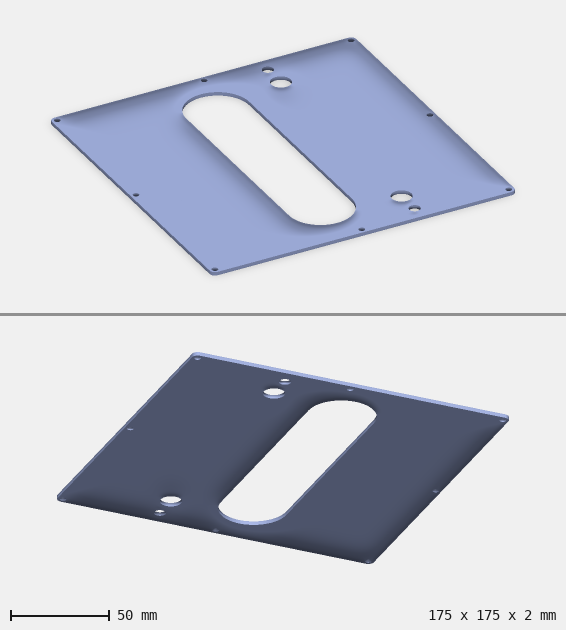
import cadquery as cq

plate_side = 175.0
plate_thickness = 2.0
corner_radius = 3.0

screw_diameter = 3.4
screw_edge_distance = 3.0
screw_offset = plate_side / 2 - screw_edge_distance

hole_line_y = 33.5
large_hole_diameter = 11.2
large_hole_x = 64.7
small_hole_diameter = 6.2
small_hole_x = 78.6

window_length = 146.0
window_width = 36.0
window_center_y = -8.0


def make_plate():
    """Square plate with rounded corners, centred on the origin."""
    plate = cq.Workplane("XY").box(plate_side, plate_side, plate_thickness)
    return plate.edges("|Z").fillet(corner_radius)


def drill(plate, diameter, points):
    """Drill through holes of one diameter at the given plate positions."""
    return plate.faces(">Z").workplane(origin=(0, 0, 0)).pushPoints(points).hole(diameter)


def drill_screw_holes(plate):
    """Eight screw holes on a 3 x 3 grid, leaving out the centre."""
    steps = (-screw_offset, 0, screw_offset)
    points = [(x, y) for x in steps for y in steps if (x, y) != (0, 0)]
    return drill(plate, screw_diameter, points)


def drill_mirrored_pair(plate, diameter, distance):
    """Two holes mirrored about the YZ plane."""
    return drill(plate, diameter, [(-distance, hole_line_y), (distance, hole_line_y)])


def cut_window(plate):
    """Rounded window through the full thickness."""
    top = plate.faces(">Z").workplane(origin=(0, 0, 0))
    return top.center(0, window_center_y).slot2D(window_length, window_width).cutThruAll()


result = make_plate()
result = drill_screw_holes(result)
result = drill_mirrored_pair(result, large_hole_diameter, large_hole_x)
result = drill_mirrored_pair(result, small_hole_diameter, small_hole_x)
result = cut_window(result)